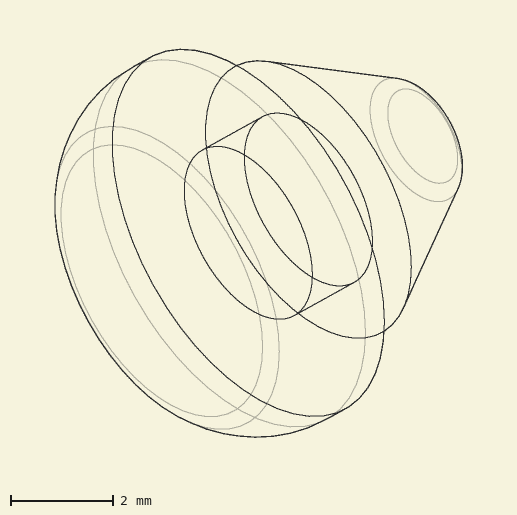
import cadquery as cq
import math

total_length = 6.93
head_radius = 3.935
head_length = 2.3
band_length = 0.5
dome_arc_radius = 2.34
face_blend_radius = 0.47
neck_radius = 3.71 / 2
neck_length = 1.6
barb_radius = 2.975
barb_half_angle = math.radians(30)
tip_blend_radius = 0.36

dome_end = head_length - band_length
barb_start = head_length + neck_length


def arc_point(center, radius, angle):
    """Point on a profile arc; the angle runs from the radial direction toward +Y."""
    return (center[0] + radius * math.cos(angle), center[1] + radius * math.sin(angle))


dome_center = (head_radius - dome_arc_radius, dome_end)
center_spacing = dome_arc_radius - face_blend_radius
dome_angle = -math.asin((dome_end - face_blend_radius) / center_spacing)
face_blend_center = arc_point(dome_center, center_spacing, dome_angle)
face_edge_angle = -math.pi / 2

tip_center_y = total_length - tip_blend_radius
tip_center_radius = (
    barb_radius
    - (tip_center_y - barb_start) * math.tan(barb_half_angle)
    - tip_blend_radius / math.cos(barb_half_angle)
)
tip_center = (tip_center_radius, tip_center_y)
tip_edge_angle = math.pi / 2

profile = (
    cq.Workplane("XY")
    .moveTo(0, 0)
    .lineTo(face_blend_center[0], 0)
    .threePointArc(
        arc_point(face_blend_center, face_blend_radius, (face_edge_angle + dome_angle) / 2),
        arc_point(face_blend_center, face_blend_radius, dome_angle),
    )
    .threePointArc(
        arc_point(dome_center, dome_arc_radius, dome_angle / 2),
        (head_radius, dome_end),
    )
    .lineTo(head_radius, head_length)
    .lineTo(neck_radius, head_length)
    .lineTo(neck_radius, barb_start)
    .lineTo(barb_radius, barb_start)
    .lineTo(*arc_point(tip_center, tip_blend_radius, barb_half_angle))
    .threePointArc(
        arc_point(tip_center, tip_blend_radius, (barb_half_angle + tip_edge_angle) / 2),
        (tip_center_radius, total_length),
    )
    .lineTo(0, total_length)
    .close()
)

result = profile.revolve(360, (0, 0, 0), (0, 1, 0))